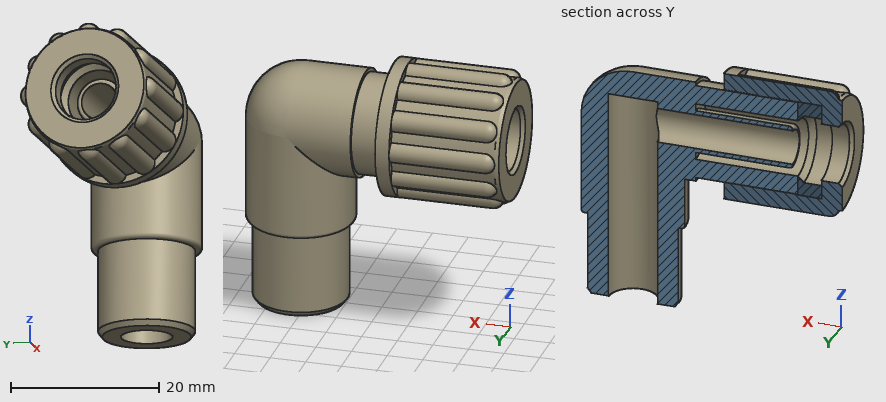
import cadquery as cq
import math


overall_length = 37.6
overall_height = 36.5

elbow_radius = 15.0 / 2
shoulder_x = -9.02
neck_radius = 14.0 / 2
spigot_shoulder_z = -15.05
spigot_shoulder_round = 0.55
spigot_radius = 13.15 / 2
spigot_tip_radius = 12.0 / 2
spigot_chamfer_height = 0.75
spigot_bore_radius = 7.0 / 2

socket_radius = 8.3 / 2
nipple_radius = 6.4 / 2
nipple_bore_radius = 5.0 / 2
nipple_round = 0.5
nipple_setback = 0.75

nut_length = 17.05
flange_radius = 19.0 / 2
flange_thickness = 1.95
grip_radius = 17.0 / 2
face_radius = 16.62 / 2
face_chamfer_length = 0.55
nut_bore_radius = 8.5 / 2
nut_mouth_radius = 9.5 / 2
nut_mouth_depth = 0.53
end_wall = 3.0

rib_count = 12
rib_radius = 1.5
rib_cap_offset = 1.95

ring_straight_length = 2.52
ring_bore_radius = 10.0 / 2

nut_face_x = elbow_radius - overall_length
nut_rear_x = nut_face_x + nut_length
flange_x = nut_rear_x - flange_thickness
ring_x = nut_face_x + end_wall
ring_taper_length = ring_bore_radius - socket_radius
ring_taper_x = ring_x + ring_straight_length
neck_end_x = ring_taper_x + ring_taper_length
nipple_tip_x = neck_end_x + nipple_setback
spigot_end_z = flange_radius - overall_height


def cylinder_x(radius, start, end):
    """Cylinder around the X axis."""
    return cq.Workplane("YZ", origin=(start, 0, 0)).circle(radius).extrude(end - start)


def cylinder_z(radius, start, end):
    """Cylinder around the Z axis."""
    return cq.Workplane("XY", origin=(0, 0, start)).circle(radius).extrude(end - start)


def revolve_x(half_section):
    """Solid of revolution around the X axis from (x, radius) points."""
    return cq.Workplane("XZ").polyline(half_section).close().revolve(360, (0, 0, 0), (1, 0, 0))


def make_elbow():
    """Body with a ball corner, a necked arm, a plain spigot and a through passage."""
    horizontal_arm = cylinder_x(elbow_radius, shoulder_x, 0)
    vertical_arm = cylinder_z(elbow_radius, spigot_shoulder_z, 0)
    vertical_arm = vertical_arm.faces("<Z").edges().fillet(spigot_shoulder_round)
    neck = cylinder_x(neck_radius, neck_end_x, shoulder_x)
    spigot_chamfer = spigot_radius - spigot_tip_radius
    spigot = cylinder_z(spigot_radius, spigot_end_z, spigot_shoulder_z)
    spigot = spigot.faces("<Z").chamfer(spigot_chamfer_height, spigot_chamfer)
    corner = cq.Workplane("XY").sphere(elbow_radius)
    outside = corner.union(horizontal_arm).union(vertical_arm).union(neck).union(spigot)

    socket = cylinder_x(socket_radius, neck_end_x, shoulder_x)
    nipple = cylinder_x(nipple_radius, nipple_tip_x, shoulder_x)
    nipple = nipple.faces("<X").edges().fillet(nipple_round)
    nipple_bore = cylinder_x(nipple_bore_radius, nipple_tip_x, 0)
    spigot_bore = cylinder_z(spigot_bore_radius, spigot_end_z, spigot_bore_radius)
    return outside.cut(socket).union(nipple).cut(nipple_bore).cut(spigot_bore)


def make_rib(angle):
    """One round grip rib with a ball front end, its crest level with the flange rim."""
    centre_radius = flange_radius - rib_radius
    cap_x = nut_face_x + rib_cap_offset
    y = centre_radius * math.sin(angle)
    z = centre_radius * math.cos(angle)
    rod = cq.Workplane("YZ", origin=(cap_x, y, z)).circle(rib_radius).extrude(flange_x - cap_x)
    cap = cq.Workplane("XY", origin=(cap_x, y, z)).sphere(rib_radius)
    return rod.union(cap)


def make_nut():
    """Union nut with a rear flange, grip ribs, a chamfered mouth and a bore for ring and neck."""
    grip = cylinder_x(grip_radius, nut_face_x, flange_x)
    grip = grip.faces("<X").chamfer(face_chamfer_length, grip_radius - face_radius)
    nut = grip.union(cylinder_x(flange_radius, flange_x, nut_rear_x))
    for index in range(rib_count):
        nut = nut.union(make_rib(2 * math.pi * index / rib_count))

    mouth_x = nut_face_x + nut_mouth_depth
    bore_profile = [
        (nut_face_x, 0),
        (nut_face_x, nut_mouth_radius),
        (mouth_x, nut_bore_radius),
        (ring_x, nut_bore_radius),
        (ring_x, neck_radius),
        (nut_rear_x, neck_radius),
        (nut_rear_x, 0),
    ]
    return nut.cut(revolve_x(bore_profile))


def make_clamp_ring():
    """Ring between the nut's end wall and the neck, its bore tapering at 45 degrees to the socket size."""
    half_section = [
        (ring_x, ring_bore_radius),
        (ring_taper_x, ring_bore_radius),
        (neck_end_x, socket_radius),
        (neck_end_x, neck_radius),
        (ring_x, neck_radius),
    ]
    return revolve_x(half_section)


elbow = make_elbow()
nut = make_nut()
clamp_ring = make_clamp_ring()

result = cq.Compound.makeCompound([elbow.val(), nut.val(), clamp_ring.val()])